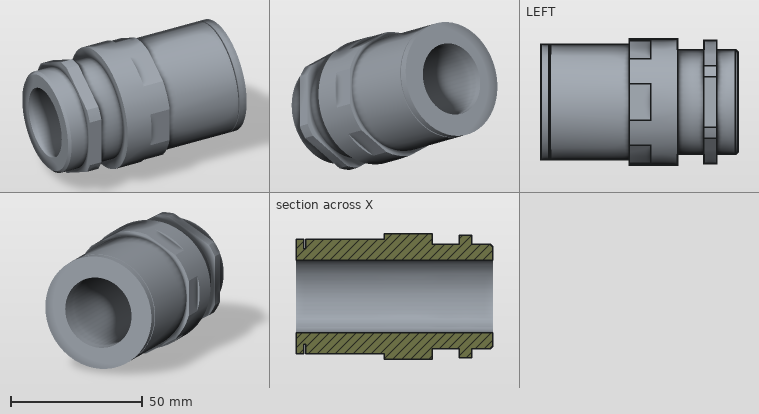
import cadquery as cq
import math

length = 75.0
bore_diameter = 27.5

thread_diameter = 40.0
thread_chamfer = 1.0

nut_start = 8.0
nut_end = 13.0
nut_across_flats = 43.0
nut_corner_diameter = 47.0

collar_start = 23.0
flats_start = 33.2
collar_end = 41.5
collar_diameter = 48.0
collar_across_flats = 46.0

sleeve_diameter = 44.0
groove_diameter = 36.5
groove_width = 0.5
ring_width = 3.0
ring_start = length - ring_width
groove_start = ring_start - groove_width


def cylinder(diameter, start, end):
    """Solid cylinder on the Y axis between two distances from the threaded end."""
    plane = cq.Plane(origin=(0, start - length / 2, 0), xDir=(1, 0, 0), normal=(0, 1, 0))
    return cq.Workplane(plane).circle(diameter / 2).extrude(end - start)


def hexagon(across_flats, start, end):
    """Hexagonal prism on the Y axis with two of its flats facing -X and +X."""
    across_corners = across_flats / math.cos(math.pi / 6)
    plane = cq.Plane(origin=(0, start - length / 2, 0), xDir=(0, 0, 1), normal=(0, 1, 0))
    return cq.Workplane(plane).polygon(6, across_corners).extrude(end - start)


def rounded_hexagon(across_flats, corner_diameter, start, end):
    """Hexagonal prism with its corners turned down to a cylinder."""
    return hexagon(across_flats, start, end).intersect(cylinder(corner_diameter, start, end))


thread = cylinder(thread_diameter, 0, collar_start).faces("<Y").chamfer(thread_chamfer)
nut = rounded_hexagon(nut_across_flats, nut_corner_diameter, nut_start, nut_end)
collar = cylinder(collar_diameter, collar_start, flats_start)
wrench_flats = rounded_hexagon(collar_across_flats, collar_diameter, flats_start, collar_end)
sleeve = cylinder(sleeve_diameter, collar_end, groove_start)
groove_core = cylinder(groove_diameter, groove_start, ring_start)
end_ring = cylinder(sleeve_diameter, ring_start, length)

body = thread
for section in (nut, collar, wrench_flats, sleeve, groove_core, end_ring):
    body = body.union(section)

result = body.cut(cylinder(bore_diameter, 0, length))